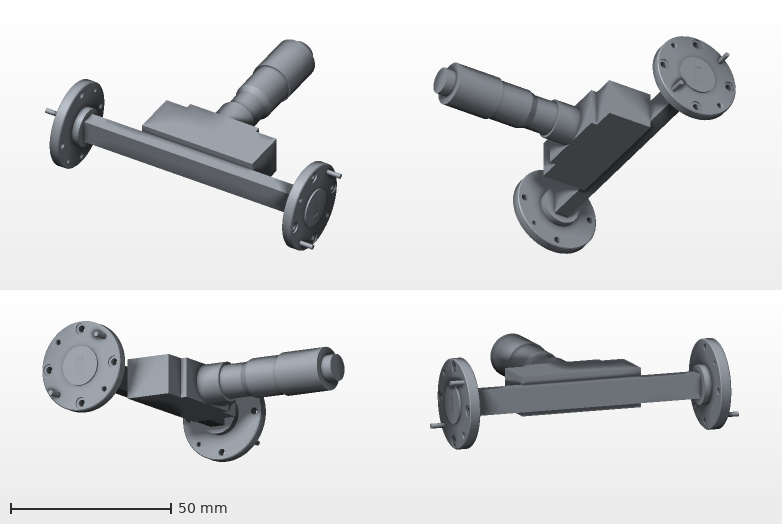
import cadquery as cq
import math

flange_diameter = 28.6
flange_outer_x = 43.8
flange_thickness = 3.5
flange_chamfer = 0.3
boss_diameter = 12.6
front_boss_height = 0.6
rear_boss_height = 2.3
bolt_circle_diameter = 23.8
screw_hole_diameter = 2.2
screw_sink_diameter = 3.8
screw_sink_depth = 0.5

bar_width = 4.9
bar_height = 7.8
aperture_width = 2.8
aperture_height = 5.7
aperture_depth = 0.1

block_length = 39.8
block_depth = 15.1
block_height = 12.6
pad_length = 24.8
pad_depth = 2.0

collar_diameter = 12.6
collar_length = 7.8
neck_diameter = 10.8
neck_length = 7.6
cone_length = 2.3
thimble_diameter = 12.6
thimble_length = 11.1
grip_diameter = 13.7
grip_length = 15.4
tip_diameter = 8.5
tip_length = 3.4

pin_diameter = 1.5
pin_hole_chamfer = 0.24
pin_tip_x = 48.2
long_pin_extra = 0.2

flange_inner_x = flange_outer_x - flange_thickness
boss_face_x = flange_outer_x + front_boss_height
bar_end_x = flange_inner_x - rear_boss_height
block_back_y = bar_width / 2 + block_depth
pad_back_y = block_back_y + pad_depth
bolt_radius = bolt_circle_diameter / 2
pin_offset = bolt_radius * math.sqrt(0.5)


def cylinder_along_x(start_x, end_x, diameter, y=0, z=0):
    return cq.Workplane("YZ", origin=(start_x, y, z)).circle(diameter / 2).extrude(end_x - start_x)


def box_behind(front_y, length, depth, height):
    """Box centred on X and Z that starts at front_y and runs toward +Y."""
    return cq.Workplane("XY").box(length, depth, height).translate((0, front_y + depth / 2, 0))


def turn_to_other_end(shape):
    return shape.rotate((0, 0, 0), (0, 0, 1), 180)


def make_pin_hole(y, z):
    """Cutter for a through hole with a chamfered mouth on the outer face."""
    radius = pin_diameter / 2
    mouth_radius = radius + pin_hole_chamfer
    half_outline = [
        (flange_inner_x, 0),
        (flange_inner_x, radius),
        (flange_outer_x - pin_hole_chamfer, radius),
        (flange_outer_x, mouth_radius),
        (flange_outer_x, 0),
    ]
    hole = cq.Workplane("XY").polyline(half_outline).close().revolve(360, (0, 0, 0), (1, 0, 0))
    return hole.translate((0, y, z))


def make_flange():
    """Flange at the +X end, with its bosses, screw holes, pin holes and aperture recess."""
    disc = cylinder_along_x(flange_inner_x, flange_outer_x, flange_diameter)
    disc = disc.faces("<X or >X").edges().chamfer(flange_chamfer)
    flange = disc.union(cylinder_along_x(bar_end_x, boss_face_x, boss_diameter))

    screw_points = [(bolt_radius, 0), (0, bolt_radius), (-bolt_radius, 0), (0, -bolt_radius)]
    screw_holes = cq.Workplane("YZ", origin=(flange_outer_x, 0, 0)).pushPoints(screw_points)
    flange = flange.cut(screw_holes.circle(screw_hole_diameter / 2).extrude(-flange_thickness))
    flange = flange.cut(screw_holes.circle(screw_sink_diameter / 2).extrude(-screw_sink_depth))

    for y_side in (-1, 1):
        for z_side in (-1, 1):
            flange = flange.cut(make_pin_hole(y_side * pin_offset, z_side * pin_offset))

    aperture = cq.Workplane("YZ", origin=(boss_face_x, 0, 0)).rect(aperture_width, aperture_height)
    return flange.cut(aperture.extrude(-aperture_depth))


def make_micrometer():
    neck_start_y = pad_back_y + collar_length
    cone_start_y = neck_start_y + neck_length
    thimble_start_y = cone_start_y + cone_length
    grip_start_y = thimble_start_y + thimble_length
    tip_start_y = grip_start_y + grip_length
    half_outline = [
        (0, pad_back_y),
        (collar_diameter / 2, pad_back_y),
        (collar_diameter / 2, neck_start_y),
        (neck_diameter / 2, neck_start_y),
        (neck_diameter / 2, cone_start_y),
        (thimble_diameter / 2, thimble_start_y),
        (thimble_diameter / 2, grip_start_y),
        (grip_diameter / 2, grip_start_y),
        (grip_diameter / 2, tip_start_y),
        (tip_diameter / 2, tip_start_y),
        (tip_diameter / 2, tip_start_y + tip_length),
        (0, tip_start_y + tip_length),
    ]
    return cq.Workplane("XY").polyline(half_outline).close().revolve(360, (0, 0, 0), (0, 1, 0))


def make_housing():
    """Waveguide bar with its block, micrometer and two flanges, as one solid."""
    bar = box_behind(-bar_width / 2, 2 * bar_end_x, bar_width, bar_height)
    block = box_behind(bar_width / 2, block_length, block_depth, block_height)
    pad = box_behind(block_back_y, pad_length, pad_depth, block_height)
    flange = make_flange()
    housing = bar.union(block).union(pad).union(make_micrometer())
    return housing.union(flange).union(turn_to_other_end(flange))


def make_pin(side, tip_x):
    """Pin at the +X end, flush with the inner face of the flange; side is the sign of its Y and Z."""
    return cylinder_along_x(flange_inner_x, tip_x, pin_diameter, side * pin_offset, side * pin_offset)


housing = make_housing()

pins = []
for side in (-1, 1):
    right_tip_x = pin_tip_x + long_pin_extra if side > 0 else pin_tip_x
    pins.append(make_pin(side, right_tip_x))
    pins.append(turn_to_other_end(make_pin(side, pin_tip_x)))

result = cq.Compound.makeCompound([housing.val()] + [pin.val() for pin in pins])